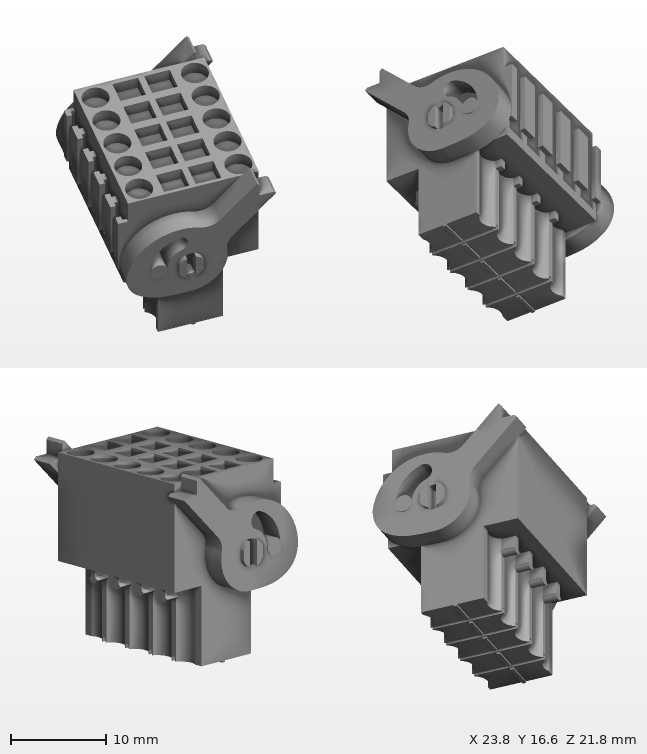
import cadquery as cq
import math


POLES = 5
PITCH = 3.5
HOUSING_WIDTH = POLES * PITCH
HALF_WIDTH = HOUSING_WIDTH / 2
POLE_XS = [(i - (POLES - 1) / 2) * PITCH for i in range(POLES)]
BETWEEN_POLE_XS = [(i - POLES / 2) * PITCH for i in range(1, POLES)]
HEAD_XS = [(i - POLES / 2) * PITCH for i in range(POLES + 1)]

UPPER_FRONT = -6.0
UPPER_BACK = 8.52
UPPER_TOP = 8.55
UPPER_BOTTOM = -3.28

SLAB_FRONT = -6.47
HEAD_FRONT = -7.07
T_SLOT_TOP = 5.83
T_SLOT_FLOOR = -2.15
T_SLOT_WIDTH = 2.65
HEAD_BOTTOM = -1.05
HEAD_WIDTH = 1.93

OPENING_SHIFT_X = 0.1
OPENING_DEPTH = 1.5
ROUND_OPENING_RADIUS = 1.48
ROUND_OPENING_YS = [6.83, -4.2]
SQUARE_OPENING_X = 2.6
SQUARE_OPENING_Y = 2.83
SQUARE_OPENING_YS = [3.07, -0.45]

PLUG_BOTTOM = -12.05
RIB_FRONT = -3.02
RIB_BACK = 5.2
PLUG_END_FRONT = -2.67
PLUG_END_BACK = 4.55
RIB_WIDTH = 0.67
SCALLOP_RADIUS = 1.6
SCALLOP_OFFSET = math.sqrt(SCALLOP_RADIUS**2 - ((PITCH - RIB_WIDTH) / 2) ** 2)
LUG_FRONT = -3.75
LUG_BOTTOM = -4.28
NOTCH_WIDTH = 0.35
NOTCH_HEIGHT = 0.48
RIDGE_BACK = 1.5
RIDGE_WIDTH = 0.4
RIDGE_HEIGHT = 0.2
RIDGE_GAP = 0.7

KEY_BACK = 6.83
KEY_BOTTOM = -5.28
KEY_NECK_BOTTOM = -4.65
KEY_FLARE = 0.29
KEY_STEM_WIDTH = RIB_WIDTH

HUB_RADIUS = 1.5
HUB_HALF_FLATS = 1.38
HUB_END = 11.9
HUB_SLOT_WIDTH = 1.0
HUB_SLOT_DEPTH = 2.0
STOP_PIN_RADIUS = 0.98
STOP_PIN_DISTANCE = 3.5
STOP_PIN_END = 11.47

LEVER_INNER = 8.9
LEVER_THICKNESS = 2.45
LEVER_BOSS_RADIUS = 4.2
LOBE_RADIUS = 6.1
LOBE_CENTER_Y = -1.0
LOBE_CENTER_Z = -0.62
LOBE_BELLY = (-4.88, -3.45)
ARM_ANGLE = 45
ARM_LENGTH = 12.02
ARM_HALF_WIDTH = 1.5
ARM_NOTCH_DEPTH = 1.1
ARM_FILLET = 2.0
JOINT_NEAR = 1.2
JOINT_FAR = 5.95
LEVER_SLOT_SWEEP = 70


def block(x_min, x_max, y_min, y_max, z_min, z_max):
    """A box given by its limits along each axis."""
    size = (x_max - x_min, y_max - y_min, z_max - z_min)
    return cq.Workplane("XY").box(*size, centered=False).translate((x_min, y_min, z_min))


def centered_block(center_x, width, y_min, y_max, z_min, z_max):
    """A box centered on an X position, with limits along Y and Z."""
    return block(center_x - width / 2, center_x + width / 2, y_min, y_max, z_min, z_max)


def t_slotted_front():
    """Slab on the front face, with T-heads that form one T-slot per pole."""
    front = centered_block(0, HOUSING_WIDTH, SLAB_FRONT, UPPER_FRONT, UPPER_BOTTOM, T_SLOT_TOP)
    for x in POLE_XS:
        slot = centered_block(x, T_SLOT_WIDTH, SLAB_FRONT, UPPER_FRONT, T_SLOT_FLOOR, T_SLOT_TOP)
        front = front.cut(slot)
    for x in HEAD_XS:
        left = max(x - HEAD_WIDTH / 2, -HALF_WIDTH)
        right = min(x + HEAD_WIDTH / 2, HALF_WIDTH)
        front = front.union(block(left, right, HEAD_FRONT, SLAB_FRONT, HEAD_BOTTOM, T_SLOT_TOP))
    return front


def top_openings():
    """Blind round and square openings, two rows of each, sunk into the top face."""
    top = cq.Workplane("XY").workplane(offset=UPPER_TOP)
    round_places = [(x + OPENING_SHIFT_X, y) for x in POLE_XS for y in ROUND_OPENING_YS]
    square_places = [(x + OPENING_SHIFT_X, y) for x in POLE_XS for y in SQUARE_OPENING_YS]
    rounds = top.pushPoints(round_places).circle(ROUND_OPENING_RADIUS).extrude(-OPENING_DEPTH)
    squares = top.pushPoints(square_places).rect(SQUARE_OPENING_X, SQUARE_OPENING_Y)
    return rounds.union(squares.extrude(-OPENING_DEPTH))


def plug_block():
    """Lower block, scalloped front and back at each pole, with notches between the poles."""
    rib_span = POLE_XS[-1] - POLE_XS[0]
    plug = centered_block(0, HOUSING_WIDTH, PLUG_END_FRONT, PLUG_END_BACK, PLUG_BOTTOM, UPPER_BOTTOM)
    plug = plug.union(centered_block(0, rib_span, RIB_FRONT, RIB_BACK, PLUG_BOTTOM, UPPER_BOTTOM))

    scallop_ys = (RIB_FRONT - SCALLOP_OFFSET, RIB_BACK + SCALLOP_OFFSET)
    scallop_places = [(x, y) for x in POLE_XS for y in scallop_ys]
    scallops = cq.Workplane("XY").workplane(offset=PLUG_BOTTOM).pushPoints(scallop_places)
    plug = plug.cut(scallops.circle(SCALLOP_RADIUS).extrude(UPPER_BOTTOM - PLUG_BOTTOM))

    for x in BETWEEN_POLE_XS:
        plug = plug.union(centered_block(x, RIB_WIDTH, LUG_FRONT, RIB_FRONT, LUG_BOTTOM, UPPER_BOTTOM))

    ridge_front = RIDGE_BACK - RIDGE_WIDTH
    ridge_bottom = PLUG_BOTTOM - RIDGE_HEIGHT
    plug = plug.union(centered_block(0, HOUSING_WIDTH, ridge_front, RIDGE_BACK, ridge_bottom, PLUG_BOTTOM))
    for x in BETWEEN_POLE_XS:
        plug = plug.cut(centered_block(x, RIDGE_GAP, ridge_front, RIDGE_BACK, ridge_bottom, PLUG_BOTTOM))
        notch_top = PLUG_BOTTOM + NOTCH_HEIGHT
        plug = plug.cut(centered_block(x, NOTCH_WIDTH, RIB_FRONT, RIB_BACK, PLUG_BOTTOM, notch_top))
    return plug


def key(center_x):
    """Key behind a rib: a straight stem that flares out to a rounded foot."""
    stem = KEY_STEM_WIDTH / 2
    foot = stem + KEY_FLARE
    foot_top = KEY_NECK_BOTTOM - KEY_FLARE
    profile = (
        cq.Workplane("XZ", origin=(center_x, KEY_BACK, 0))
        .moveTo(-stem, UPPER_BOTTOM)
        .lineTo(-stem, KEY_NECK_BOTTOM)
        .lineTo(-foot, foot_top)
        .threePointArc((0, KEY_BOTTOM), (foot, foot_top))
        .lineTo(stem, KEY_NECK_BOTTOM)
        .lineTo(stem, UPPER_BOTTOM)
        .close()
    )
    return profile.extrude(KEY_BACK - RIB_BACK)


def hub_blank(side):
    """Round pivot hub with a flat on its front and back, before it is slotted."""
    wall = cq.Workplane("YZ", origin=(side * HALF_WIDTH, 0, 0))
    body = wall.circle(HUB_RADIUS).extrude(side * (HUB_END - HALF_WIDTH))
    flats = centered_block(0, 2 * HUB_END, -HUB_HALF_FLATS, HUB_HALF_FLATS, -HUB_RADIUS, HUB_RADIUS)
    return body.intersect(flats)


def hub(side):
    """Pivot hub, split at its end by a slot with a rounded floor."""
    half_slot = HUB_SLOT_WIDTH / 2
    floor_center = HUB_END - HUB_SLOT_DEPTH + half_slot
    slot = (
        cq.Workplane("XY", origin=(0, 0, -HUB_RADIUS))
        .moveTo(side * HUB_END, -half_slot)
        .lineTo(side * floor_center, -half_slot)
        .threePointArc((side * (floor_center - half_slot), 0), (side * floor_center, half_slot))
        .lineTo(side * HUB_END, half_slot)
        .close()
        .extrude(2 * HUB_RADIUS)
    )
    return hub_blank(side).cut(slot)


def stop_pin(side):
    """Round pin that limits the swing of the lever."""
    wall = cq.Workplane("YZ", origin=(side * HALF_WIDTH, -STOP_PIN_DISTANCE, 0))
    return wall.circle(STOP_PIN_RADIUS).extrude(side * (STOP_PIN_END - HALF_WIDTH))


def make_housing():
    """The complete housing as one solid."""
    body = centered_block(0, HOUSING_WIDTH, UPPER_FRONT, UPPER_BACK, UPPER_BOTTOM, UPPER_TOP)
    body = body.union(t_slotted_front()).cut(top_openings()).union(plug_block())
    for x in BETWEEN_POLE_XS:
        body = body.union(key(x))
    for side in (-1, 1):
        body = body.union(hub(side)).union(stop_pin(side))
    return body


def lever_lobe(plane):
    """Rounded lever body: a boss around the pivot that swells into a cam lobe at the front."""
    lobe_start = (LOBE_CENTER_Y, LOBE_CENTER_Z + LOBE_RADIUS)
    lobe_end = (LOBE_CENTER_Y - math.sqrt(LOBE_RADIUS**2 - LOBE_CENTER_Z**2), 0)
    back_y = LEVER_BOSS_RADIUS * math.cos(math.radians(ARM_ANGLE))
    back_z = LOBE_CENTER_Z + math.sqrt(LOBE_RADIUS**2 - (back_y - LOBE_CENTER_Y) ** 2)
    outline = (
        plane.moveTo(back_y, back_z)
        .threePointArc(lobe_start, lobe_end)
        .spline([LOBE_BELLY, (0, -LEVER_BOSS_RADIUS)], tangents=[(0, -1), (1, 0)], includeCurrent=True)
        .lineTo(0, 0)
        .close()
    )
    return outline.extrude(LEVER_THICKNESS).union(plane.circle(LEVER_BOSS_RADIUS).extrude(LEVER_THICKNESS))


def lever_arm(plane):
    """Straight arm with a square notch in its tip."""
    notch_end = ARM_LENGTH - ARM_NOTCH_DEPTH
    outline = (
        plane.moveTo(0, -ARM_HALF_WIDTH)
        .lineTo(ARM_LENGTH, -ARM_HALF_WIDTH)
        .lineTo(ARM_LENGTH, -ARM_NOTCH_DEPTH)
        .lineTo(notch_end, 0)
        .lineTo(ARM_LENGTH, ARM_NOTCH_DEPTH)
        .lineTo(ARM_LENGTH, ARM_HALF_WIDTH)
        .lineTo(0, ARM_HALF_WIDTH)
        .close()
    )
    return outline.extrude(LEVER_THICKNESS).rotate((0, 0, 0), (1, 0, 0), ARM_ANGLE)


def lever_slot(plane):
    """Curved slot around the pivot in which the stop pin travels."""
    inner = STOP_PIN_DISTANCE - STOP_PIN_RADIUS
    outer = STOP_PIN_DISTANCE + STOP_PIN_RADIUS

    def polar(radius, degrees_from_front):
        angle = math.radians(degrees_from_front)
        return (-radius * math.cos(angle), radius * math.sin(angle))

    middle = LEVER_SLOT_SWEEP / 2
    band = (
        plane.moveTo(*polar(inner, 0))
        .threePointArc(polar(inner, middle), polar(inner, LEVER_SLOT_SWEEP))
        .lineTo(*polar(outer, LEVER_SLOT_SWEEP))
        .threePointArc(polar(outer, middle), polar(outer, 0))
        .close()
        .extrude(LEVER_THICKNESS)
    )
    ends = plane.pushPoints([polar(STOP_PIN_DISTANCE, a) for a in (0, LEVER_SLOT_SWEEP)])
    return band.union(ends.circle(STOP_PIN_RADIUS).extrude(LEVER_THICKNESS))


def make_lever(side):
    """One lever as one solid, on the left (-1) or right (1) side of the housing."""
    plane = cq.Workplane("YZ")
    lever = lever_lobe(plane).union(lever_arm(plane))
    joints = cq.selectors.BoxSelector((0, JOINT_NEAR, 0), (LEVER_THICKNESS, JOINT_FAR, JOINT_FAR))
    lever = lever.edges("|X").edges(joints).fillet(ARM_FILLET)
    lever = lever.cut(lever_slot(plane))
    start = LEVER_INNER if side > 0 else -LEVER_INNER - LEVER_THICKNESS
    return lever.translate((start, 0, 0)).cut(hub_blank(side))


housing = make_housing()
levers = [make_lever(side) for side in (-1, 1)]
result = cq.Compound.makeCompound([housing.val(), *[lever.val() for lever in levers]])